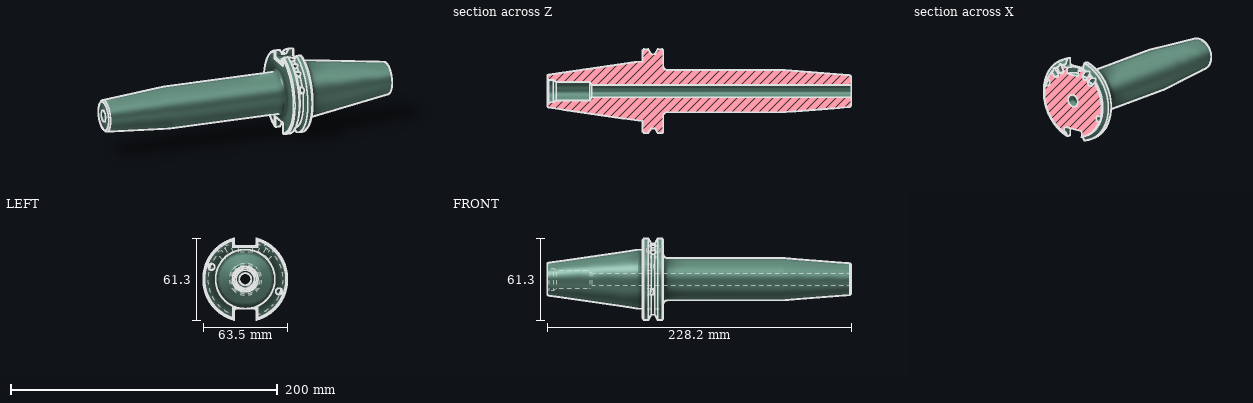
import cadquery as cq
import math

total_length = 228.2
gauge_x = 68.2
flange_x = 71.5
flange_width = 15.7
flange_end_x = flange_x + flange_width

taper_ratio = 7 / 24
gauge_diameter = 44.5
gauge_radius = gauge_diameter / 2
cone_end_radius = gauge_radius - gauge_x * taper_ratio / 2
cone_end_fillet = 1.4
shank_radius = 16.0
nose_diameter = 24.0
nose_radius = nose_diameter / 2
nose_length = 51.0
nose_x = total_length - nose_length
nose_chamfer = 1.1
shank_fillet = 3.0

flange_diameter = 63.5
flange_radius = flange_diameter / 2
face_chamfer = 1.1
back_chamfer = 1.0
groove_offset = 8.0
groove_x = flange_x + groove_offset
groove_floor_radius = 28.0
groove_floor_half = 1.4
groove_half_angle = 30
groove_rim_half = groove_floor_half + (
    flange_radius - groove_floor_radius) * math.tan(math.radians(groove_half_angle))

slot_half = 8.2
top_slot_floor = 25.0
bottom_slot_floor = 22.4
slot_corner_radius = 1.1

pocket_diameter = 10.3
pocket_depth = 4.5

drill_half_angle = 59

axial_hole_diameter = 4.8
axial_hole_circle_radius = 27.0
axial_hole_depth = 8.0
axial_hole_angle = 20

radial_hole_diameter = 4.0
radial_hole_depth = 5.0
radial_hole_angles = (29, 44)

counterbore_radius = 8.2
counterbore_depth = 4.5
counterbore_chamfer = 1.4
thread_radius = 6.8
thread_entry_half_angle = 30
thread_end_x = 32.0
through_diameter = 9.0
through_radius = through_diameter / 2


def revolve_about_x(profile):
    """Turn a closed XY outline (X along the axis, Y as radius) about X."""
    return profile.close().revolve(360, (0, 0, 0), (1, 0, 0))


def make_body():
    """Solid cone, cylinder under the flange, and shank with a tapered nose."""
    body = revolve_about_x(
        cq.Workplane("XY")
        .lineTo(0, cone_end_radius)
        .lineTo(gauge_x, gauge_radius)
        .lineTo(flange_x, gauge_radius)
        .lineTo(flange_end_x, shank_radius + shank_fillet)
        .radiusArc((flange_end_x + shank_fillet, shank_radius), -shank_fillet)
        .lineTo(nose_x, shank_radius)
        .lineTo(total_length, nose_radius)
        .lineTo(total_length, 0)
    )
    body = body.faces("<X").edges().fillet(cone_end_fillet)
    return body.faces(">X").edges().chamfer(nose_chamfer)


def make_flange_disc():
    return revolve_about_x(
        cq.Workplane("XY")
        .moveTo(flange_x, 0)
        .lineTo(flange_x, flange_radius - face_chamfer)
        .lineTo(flange_x + face_chamfer, flange_radius)
        .lineTo(groove_x - groove_rim_half, flange_radius)
        .lineTo(groove_x - groove_floor_half, groove_floor_radius)
        .lineTo(groove_x + groove_floor_half, groove_floor_radius)
        .lineTo(groove_x + groove_rim_half, flange_radius)
        .lineTo(flange_end_x - back_chamfer, flange_radius)
        .lineTo(flange_end_x, flange_radius - back_chamfer)
        .lineTo(flange_end_x, 0)
    )


def make_slot(floor, side):
    """Drive slot along X with chamfered mouths; side is +1 at the top, -1 at the bottom."""
    width = 2 * slot_half
    height = 2 * flange_radius - floor
    centre_z = side * (floor + height / 2)

    slot = cq.Workplane("YZ", origin=(flange_x, 0, centre_z)).rect(width, height)
    slot = slot.extrude(flange_width).edges("|X").fillet(slot_corner_radius)
    mouths = ((flange_x, face_chamfer, 1), (flange_end_x, back_chamfer, -1))
    for x, chamfer, inward in mouths:
        mouth = (
            cq.Workplane("YZ", origin=(x, 0, centre_z))
            .rect(width + 2 * chamfer, height + 2 * chamfer)
            .workplane(offset=inward * chamfer)
            .rect(width, height)
            .loft(ruled=True)
        )
        slot = slot.union(mouth)
    return slot


def make_pocket():
    return (
        cq.Workplane("XY", origin=(groove_x, 0, top_slot_floor - pocket_depth))
        .circle(pocket_diameter / 2)
        .extrude(2 * pocket_depth)
    )


def drill_tip_length(radius_change):
    return radius_change / math.tan(math.radians(drill_half_angle))


def make_drilled_hole(diameter, start, end):
    """Hole along X from start to end, continued by a drill point."""
    radius = diameter / 2
    return revolve_about_x(
        cq.Workplane("XY")
        .moveTo(start, 0)
        .lineTo(start, radius)
        .lineTo(end, radius)
        .lineTo(end + math.copysign(drill_tip_length(radius), end - start), 0)
    )


def make_axial_hole(angle):
    y = axial_hole_circle_radius * math.cos(math.radians(angle))
    z = axial_hole_circle_radius * math.sin(math.radians(angle))
    hole = make_drilled_hole(axial_hole_diameter, flange_x, flange_x + axial_hole_depth)
    return hole.translate((0, y, z))


def make_radial_hole(angle):
    """Blind hole in the groove floor, tilted about X away from +Z."""
    hole = make_drilled_hole(
        radial_hole_diameter, flange_radius, groove_floor_radius - radial_hole_depth)
    hole = hole.rotate((0, 0, 0), (0, 1, 0), -90).translate((groove_x, 0, 0))
    return hole.rotate((0, 0, 0), (1, 0, 0), angle)


def make_bore():
    entry_length = (counterbore_radius - thread_radius) / math.tan(
        math.radians(thread_entry_half_angle))
    thread_x = counterbore_depth + entry_length
    drill_tip = drill_tip_length(thread_radius - through_radius)
    return revolve_about_x(
        cq.Workplane("XY")
        .lineTo(0, counterbore_radius + counterbore_chamfer)
        .lineTo(counterbore_chamfer, counterbore_radius)
        .lineTo(counterbore_depth, counterbore_radius)
        .lineTo(thread_x, thread_radius)
        .lineTo(thread_end_x, thread_radius)
        .lineTo(thread_end_x + drill_tip, through_radius)
        .lineTo(total_length, through_radius)
        .lineTo(total_length, 0)
    )


flange = make_flange_disc()
flange = flange.cut(make_slot(top_slot_floor, 1))
flange = flange.cut(make_slot(bottom_slot_floor, -1))
for hole_angle in (axial_hole_angle, axial_hole_angle + 180):
    flange = flange.cut(make_axial_hole(hole_angle))
for tilt in radial_hole_angles:
    for sign in (1, -1):
        flange = flange.cut(make_radial_hole(sign * tilt))

result = make_body().union(flange).cut(make_pocket()).cut(make_bore())